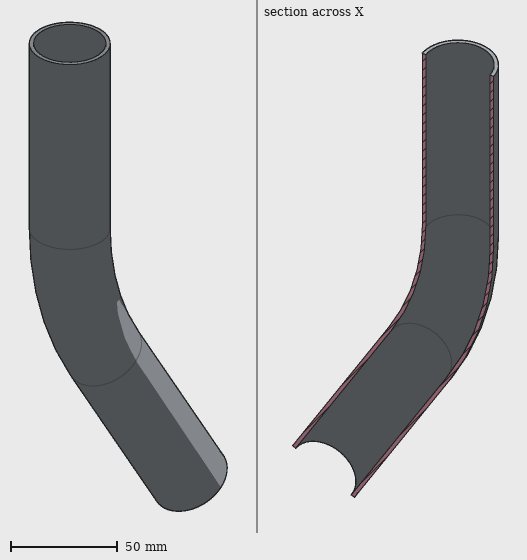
import cadquery as cq
import math

outer_diameter = 38.0
inner_diameter = 34.0
leg_length = 101.5
bend_radius = 152.5
bend_angle = 30

angle = math.radians(bend_angle)

bend_start = (0, -leg_length)
bend_middle = (
    bend_radius * (1 - math.cos(angle / 2)),
    -leg_length - bend_radius * math.sin(angle / 2),
)
bend_end = (
    bend_radius * (1 - math.cos(angle)),
    -leg_length - bend_radius * math.sin(angle),
)
lower_end = (
    bend_end[0] + leg_length * math.sin(angle),
    bend_end[1] - leg_length * math.cos(angle),
)

centreline = (
    cq.Workplane("YZ")
    .moveTo(0, 0)
    .lineTo(*bend_start)
    .threePointArc(bend_middle, bend_end)
    .lineTo(*lower_end)
)

wall_section = cq.Workplane("XY").circle(outer_diameter / 2).circle(inner_diameter / 2)
result = wall_section.sweep(centreline)